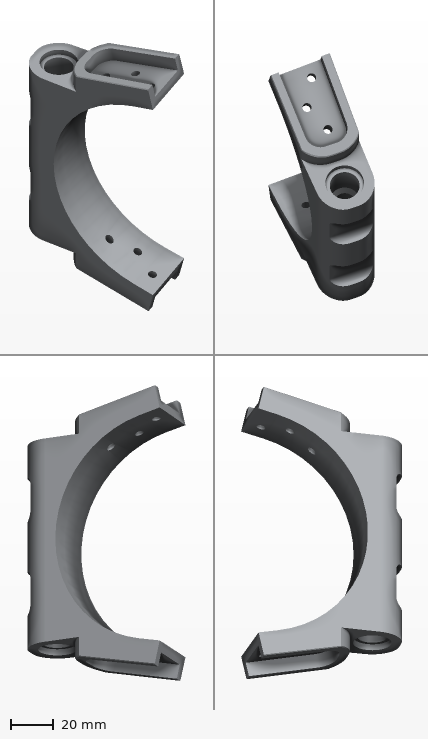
import cadquery as cq
import math

LENGTH = 73.5
HEIGHT = 137.5
MID_Z = HEIGHT / 2

NOSE_WIDTH = 28.2
NOSE_RADIUS = NOSE_WIDTH / 2
NOSE_CENTER_X = 13.5
NOSE_BLEND_RADIUS = 10.0
END_WIDTH = 30.2
WIDTH_END_X = 72.5
TAPER = (END_WIDTH - NOSE_WIDTH) / (WIDTH_END_X - NOSE_CENTER_X)

BARREL_HEIGHT = 100.1
BARREL_TOP = (HEIGHT + BARREL_HEIGHT) / 2
BORE_DIAMETER = 10.0
RECESS_DIAMETER = 14.0
RECESS_DEPTH = 20.0
COUNTERBORE_DIAMETER = 18.2
COUNTERBORE_DEPTH = 3.0

NOTCH_DEPTH = 4.5
NOTCH_HEIGHT = 22.0
NOTCH_OFFSET = 23.1
NOTCH_RADIUS = 4.1

ARM_ANGLE = 13.0
ARM_THICKNESS = 11.7
ARM_START_X = 25.3
ARM_SHOULDER_X = 31.5
ARM_TAPERED_SHOULDER_X = 32.2
ARM_FLAT = 4.1
RIM_CHAMFER = 0.4
SADDLE_X = 19.1

CHANNEL_DEPTH = 6.9
CHANNEL_START = 5.1
CHANNEL_WALL = 4.1
CHANNEL_RADIUS = 7.5
SCREW_DIAMETER = 4.3
SCREW_PLACES = [(13.8, 12.4), (27.0, 18.2), (39.7, 11.1)]

COS = math.cos(math.radians(ARM_ANGLE))
SIN = math.sin(math.radians(ARM_ANGLE))
RIM_END_X = LENGTH - ARM_THICKNESS * SIN
RIM_LENGTH = (RIM_END_X - ARM_START_X) / COS
RIM_START_Z = HEIGHT - RIM_LENGTH * SIN
TIP_Z = HEIGHT - ARM_THICKNESS * COS
SADDLE_RADIUS = ((TIP_Z - MID_Z) * COS - (LENGTH - SADDLE_X) * SIN) / (1 - SIN)
TANGENT_X = SADDLE_X + SADDLE_RADIUS * (1 - SIN)
TANGENT_Z = MID_Z + SADDLE_RADIUS * COS

CLEARANCE = 13.8
RIM_PLANE = cq.Plane(origin=(ARM_START_X, 0, RIM_START_Z), xDir=(COS, 0, SIN), normal=(-SIN, 0, COS))


def tapered_side(x):
    """Y of the tapered side at a given X."""
    return NOSE_WIDTH + TAPER * (x - NOSE_CENTER_X)


def plan_outline(start_x, shoulder_x, tapered_shoulder_x, half_flat, radius):
    """Plan outline with a flat and two curved shoulders at its -X end."""
    far_x = LENGTH + CLEARANCE
    middle = NOSE_WIDTH / 2
    return (
        cq.Workplane("XY")
        .moveTo(far_x, 0)
        .lineTo(shoulder_x, 0)
        .radiusArc((start_x, middle - half_flat), radius)
        .lineTo(start_x, middle + half_flat)
        .radiusArc((tapered_shoulder_x, tapered_side(tapered_shoulder_x)), radius)
        .lineTo(far_x, tapered_side(far_x))
        .close()
    )


def make_barrel():
    """Barrel and web: the nose circle is cut flat at X = 0 and blended into that flat."""
    half_flat = math.sqrt(NOSE_RADIUS**2 - NOSE_CENTER_X**2)
    outline = plan_outline(0, NOSE_CENTER_X, NOSE_CENTER_X, half_flat, NOSE_RADIUS)
    barrel = outline.extrude(BARREL_HEIGHT).translate((0, 0, BARREL_TOP - BARREL_HEIGHT))
    return barrel.edges("|Z and <X").fillet(NOSE_BLEND_RADIUS)


def make_arm():
    """Upper arm blank, trimmed along its rim, with a broken rim edge."""
    half_flat = ARM_FLAT / 2
    run = ARM_SHOULDER_X - ARM_START_X
    rise = NOSE_WIDTH / 2 - half_flat
    radius = (run**2 + rise**2) / (2 * run)
    outline = plan_outline(ARM_START_X, ARM_SHOULDER_X, ARM_TAPERED_SHOULDER_X, half_flat, radius)
    arm = outline.extrude(HEIGHT + CLEARANCE - MID_Z).translate((0, 0, MID_Z))
    cover_size = 4 * LENGTH
    above_rim = cq.Workplane(RIM_PLANE).rect(cover_size, cover_size).extrude(HEIGHT)
    arm = arm.cut(above_rim)
    rim_face = arm.faces(cq.selectors.DirectionMinMaxSelector(RIM_PLANE.zDir, True))
    return rim_face.edges().chamfer(RIM_CHAMFER)


def make_end_trim():
    """Everything beyond the arm end, which is square to the tapered side."""
    reach = 2 * END_WIDTH
    return (
        cq.Workplane(RIM_PLANE)
        .moveTo(RIM_LENGTH + TAPER * reach, -reach)
        .lineTo(RIM_LENGTH - TAPER * reach, reach)
        .lineTo(RIM_LENGTH + LENGTH, reach)
        .lineTo(RIM_LENGTH + LENGTH, -reach)
        .close()
        .extrude(2 * ARM_THICKNESS, both=True)
    )


def make_saddle():
    """Rounded opening between the arms."""
    far_x = LENGTH + CLEARANCE
    far_rise = TIP_Z - MID_Z + CLEARANCE * SIN / COS
    tangent_rise = TANGENT_Z - MID_Z
    return (
        cq.Workplane("XZ")
        .moveTo(far_x, MID_Z - far_rise)
        .lineTo(TANGENT_X, MID_Z - tangent_rise)
        .threePointArc((SADDLE_X, MID_Z), (TANGENT_X, MID_Z + tangent_rise))
        .lineTo(far_x, MID_Z + far_rise)
        .close()
        .extrude(2 * END_WIDTH, both=True)
    )


def make_channel():
    """Open-ended channel in the arm, with its screw holes."""
    channel_end = RIM_LENGTH + CLEARANCE
    start_y = tapered_side(ARM_START_X + CHANNEL_START * COS) - CHANNEL_WALL
    end_y = tapered_side(ARM_START_X + channel_end * COS) - CHANNEL_WALL
    channel = (
        cq.Workplane(RIM_PLANE)
        .moveTo(channel_end, CHANNEL_WALL)
        .lineTo(CHANNEL_START, CHANNEL_WALL)
        .lineTo(CHANNEL_START, start_y)
        .lineTo(channel_end, end_y)
        .close()
        .extrude(CHANNEL_DEPTH, both=True)
    )
    inner_end = cq.selectors.DirectionMinMaxSelector(RIM_PLANE.xDir, False)
    normal_edges = cq.selectors.ParallelDirSelector(RIM_PLANE.zDir)
    channel = channel.faces(inner_end).edges(normal_edges).fillet(CHANNEL_RADIUS)
    screws = (
        cq.Workplane(RIM_PLANE)
        .pushPoints(SCREW_PLACES)
        .circle(SCREW_DIAMETER / 2)
        .extrude(-2 * ARM_THICKNESS)
    )
    return channel.union(screws)


def make_bore():
    """Upper half of the bore: counterbore, recess with a conical floor, through hole."""
    cone_height = (RECESS_DIAMETER - BORE_DIAMETER) / 2
    recess_floor = BARREL_TOP - RECESS_DEPTH
    counterbore_floor = BARREL_TOP - COUNTERBORE_DEPTH
    profile = (
        cq.Workplane("XZ")
        .moveTo(0, MID_Z)
        .lineTo(BORE_DIAMETER / 2, MID_Z)
        .lineTo(BORE_DIAMETER / 2, recess_floor - cone_height)
        .lineTo(RECESS_DIAMETER / 2, recess_floor)
        .lineTo(RECESS_DIAMETER / 2, counterbore_floor)
        .lineTo(COUNTERBORE_DIAMETER / 2, counterbore_floor)
        .lineTo(COUNTERBORE_DIAMETER / 2, BARREL_TOP)
        .lineTo(0, BARREL_TOP)
        .close()
    )
    bore = profile.revolve(360, (0, 0, 0), (0, 1, 0))
    return bore.translate((NOSE_CENTER_X, NOSE_WIDTH / 2, 0))


def make_notch():
    """Notch across the nose with rounded inner corners."""
    notch = cq.Workplane("XY").box(2 * NOTCH_DEPTH, 2 * END_WIDTH, NOTCH_HEIGHT)
    notch = notch.edges("|Y and >X").fillet(NOTCH_RADIUS)
    return notch.translate((0, NOSE_WIDTH / 2, MID_Z + NOTCH_OFFSET))


def with_mirror(shape):
    """The shape together with its mirror image about mid-height."""
    return shape.union(shape.mirror("XY", (0, 0, MID_Z)))


result = make_barrel().union(with_mirror(make_arm())).cut(make_saddle())
for cutter in (make_end_trim(), make_channel(), make_bore(), make_notch()):
    result = result.cut(cutter).cut(cutter.mirror("XY", (0, 0, MID_Z)))